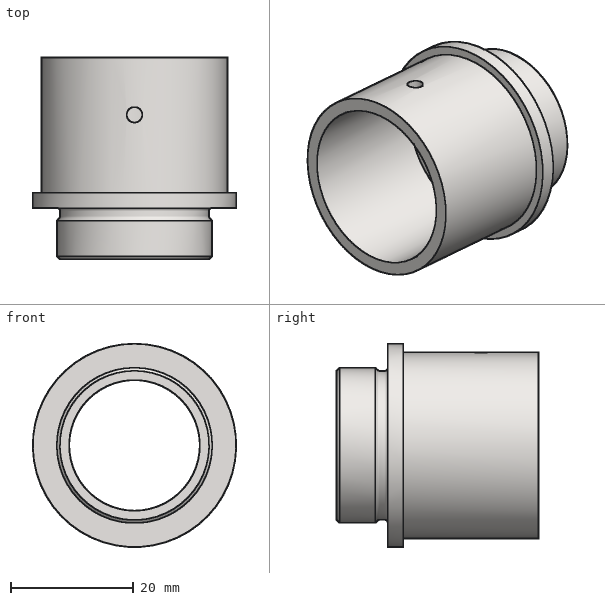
import cadquery as cq
import math

total_length = 33.02
spigot_length = 8.38
flange_thickness = 2.54

body_radius = 30.48 / 2
flange_radius = 33.274 / 2
spigot_radius = 25.4 / 2
spigot_bore_radius = 21.3 / 2
body_bore_radius = 26.25 / 2
spigot_bore_depth = 9.5
bore_chamfer = 0.7

end_chamfer = 0.508
relief_width = 2.032
relief_depth = 0.508
relief_fillet = 0.508

pin_hole_diameter = 2.54
pin_hole_from_body_end = 9.4

flange_back = spigot_length + flange_thickness
relief_start = spigot_length - relief_width
relief_radius = spigot_radius - relief_depth
pin_hole_y = total_length - pin_hole_from_body_end


AXIS_START = (0, 0)
AXIS_END = (1, 0)


def make_outside():
    """Revolve the stepped outline, including the filleted undercut, about Y."""
    sin_45 = math.sin(math.radians(45))
    sin_22 = math.sin(math.radians(22.5))
    cos_22 = math.cos(math.radians(22.5))

    arc_rise = relief_fillet * (1 - sin_45)
    arc_run = relief_fillet * sin_45
    wall_end_y = relief_start + relief_depth - arc_rise
    floor_start_y = wall_end_y + arc_run
    floor_end_y = spigot_length - relief_fillet

    wall_arc_middle = (
        floor_start_y - relief_fillet * sin_22,
        relief_radius + relief_fillet * (1 - cos_22),
    )
    flange_arc_middle = (
        floor_end_y + arc_run,
        relief_radius + arc_rise,
    )

    outline = (
        cq.Workplane("YZ")
        .lineTo(0, spigot_radius - end_chamfer)
        .lineTo(end_chamfer, spigot_radius)
        .lineTo(relief_start, spigot_radius)
        .lineTo(wall_end_y, relief_radius + arc_rise)
        .threePointArc(wall_arc_middle, (floor_start_y, relief_radius))
        .lineTo(floor_end_y, relief_radius)
        .threePointArc(flange_arc_middle, (spigot_length, relief_radius + relief_fillet))
        .lineTo(spigot_length, flange_radius)
        .lineTo(flange_back, flange_radius)
        .lineTo(flange_back, body_radius)
        .lineTo(total_length, body_radius)
        .lineTo(total_length, 0)
        .close()
    )
    return outline.revolve(360, AXIS_START, AXIS_END)


def make_bore():
    """Narrow bore, chamfered at its inner end, opening to a wider bore in the body."""
    chamfer_end_y = spigot_bore_depth + bore_chamfer
    chamfer_end_radius = spigot_bore_radius + bore_chamfer

    outline = (
        cq.Workplane("YZ")
        .lineTo(0, -spigot_bore_radius)
        .lineTo(spigot_bore_depth, -spigot_bore_radius)
        .lineTo(chamfer_end_y, -chamfer_end_radius)
        .lineTo(chamfer_end_y, -body_bore_radius)
        .lineTo(total_length, -body_bore_radius)
        .lineTo(total_length, 0)
        .close()
    )
    return outline.revolve(360, AXIS_START, AXIS_END)


def make_pin_hole():
    """Radial hole through the +Z side of the body wall only."""
    return (
        cq.Workplane("XY")
        .center(0, pin_hole_y)
        .circle(pin_hole_diameter / 2)
        .extrude(flange_radius)
    )


result = make_outside().cut(make_bore()).cut(make_pin_hole())